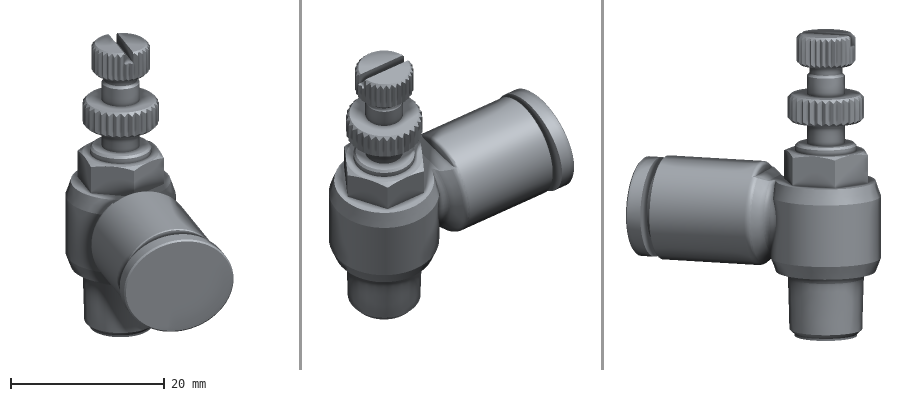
import cadquery as cq
import math


overall_length = 32.3

thread_tip_radius = 4.1
thread_end_radius = 4.75
thread_start_radius = 4.95
thread_relief_radius = 5.15
thread_tip_height = 0.3
thread_chamfer_top = 0.9
thread_top = 7.73
thread_relief_bottom = 8.37

body_radius = 7.2
body_end_radius = 6.53
body_bottom = 8.57
body_lower_shoulder = 10.37
body_upper_shoulder = 18.55
body_top = 20.55

hex_across_flats = 10.0
hex_top = 24.6
hex_chamfer_radius = hex_across_flats / 2
hex_chamfer_angle = 25
collar_radius = 4.0
collar_top = 25.55
collar_chamfer = 0.3

stem_radius = 2.5
stem_top = 34.85
stem_chamfer = 0.32
tooth_count = 30
tooth_chamfer = 0.5
nut_tip_radius = 5.0
nut_valley_radius = 4.6
nut_bottom = 28.5
nut_top = 32.1
knob_tip_radius = 3.85
knob_valley_radius = 3.5
knob_bottom = 36.0
knob_top = 40.05
slot_width = 1.2
slot_depth = 1.5

branch_height = 15.75
neck_radius = 5.0
cone_start = 6.53
cone_end = 8.45
cone_fillet = 1.0
barrel_radius = 6.8
barrel_start = 8.5
barrel_lip = 0.5
barrel_end = 22.1
barrel_end_chamfer = 0.12
facet_start = 7.05
facet_end_height = 21.23

ring_radius = 4.8
button_start = 23.03
button_end = overall_length - body_radius
button_half_width = 15.0 / 2
button_half_height = 6.5
button_chamfer = 0.2


def revolve_about_z(points):
    """Revolve a (radius, height) outline about the valve axis."""
    return cq.Workplane("XZ").polyline(points).close().revolve(360, (0, 0, 0), (0, 1, 0))


def branch_disc(radius, start, end):
    """Round bar along the branch axis from X = start to X = end."""
    return cq.Workplane("YZ", origin=(start, 0, branch_height)).circle(radius).extrude(end - start)


def body():
    return revolve_about_z([
        (0, 0),
        (thread_tip_radius, 0),
        (thread_tip_radius, thread_tip_height),
        (thread_end_radius, thread_chamfer_top),
        (thread_start_radius, thread_top),
        (thread_relief_radius, thread_relief_bottom),
        (thread_relief_radius, body_bottom),
        (body_end_radius, body_bottom),
        (body_radius, body_lower_shoulder),
        (body_radius, body_upper_shoulder),
        (body_end_radius, body_top),
        (0, body_top),
    ])


def hexagon():
    corner_radius = hex_across_flats / 2 / math.cos(math.pi / 6)
    prism = (
        cq.Workplane("XY", origin=(0, 0, body_top))
        .polygon(6, 2 * corner_radius)
        .extrude(hex_top - body_top)
    )
    corner_drop = (corner_radius - hex_chamfer_radius) * math.tan(math.radians(hex_chamfer_angle))
    envelope = revolve_about_z([
        (0, body_top),
        (corner_radius, body_top),
        (corner_radius, hex_top - corner_drop),
        (hex_chamfer_radius, hex_top),
        (0, hex_top),
    ])
    return prism.intersect(envelope)


def collar_and_stem():
    undercut_radius = stem_radius - stem_chamfer
    return revolve_about_z([
        (0, hex_top),
        (collar_radius, hex_top),
        (collar_radius, collar_top - collar_chamfer),
        (collar_radius - collar_chamfer, collar_top),
        (stem_radius, collar_top),
        (stem_radius, stem_top - stem_chamfer),
        (undercut_radius, stem_top),
        (undercut_radius, knob_bottom),
        (0, knob_bottom),
    ])


def knurled_disc(tip_radius, valley_radius, bottom, top, first_tip_angle):
    """Disc with sharp V teeth, chamfered at both ends."""
    half_pitch = 180 / tooth_count
    points = []
    for step in range(2 * tooth_count):
        radius = tip_radius if step % 2 == 0 else valley_radius
        angle = math.radians(first_tip_angle + step * half_pitch)
        points.append((radius * math.cos(angle), radius * math.sin(angle)))
    teeth = cq.Workplane("XY", origin=(0, 0, bottom)).polyline(points).close().extrude(top - bottom)
    envelope = revolve_about_z([
        (0, bottom),
        (tip_radius - tooth_chamfer, bottom),
        (tip_radius, bottom + tooth_chamfer),
        (tip_radius, top - tooth_chamfer),
        (tip_radius - tooth_chamfer, top),
        (0, top),
    ])
    return teeth.intersect(envelope)


def lock_nut():
    return knurled_disc(nut_tip_radius, nut_valley_radius, nut_bottom, nut_top, 0)


def slotted_knob():
    knob = knurled_disc(knob_tip_radius, knob_valley_radius, knob_bottom, knob_top, 90)
    slot = (
        cq.Workplane("XY", origin=(0, 0, knob_top - slot_depth))
        .rect(2 * knob_tip_radius, slot_width)
        .extrude(slot_depth)
    )
    return knob.cut(slot)


def branch_neck():
    """Neck and blended cone, cut flat at the body top and sloped up to the barrel."""
    blend_end = barrel_start + barrel_lip
    cone_angle = math.atan2(barrel_radius - neck_radius, cone_end - cone_start)
    tangent = cone_fillet * math.tan(cone_angle / 2)
    tangent_x = tangent * math.cos(cone_angle)
    tangent_r = tangent * math.sin(cone_angle)
    sagitta = cone_fillet * (1 - math.cos(cone_angle / 2))
    mid_x = cone_fillet * math.sin(cone_angle / 2)
    neck_tangent = cone_start - tangent
    barrel_tangent = cone_end + tangent
    neck = (
        cq.Workplane("XZ", origin=(0, 0, branch_height))
        .lineTo(0, neck_radius)
        .lineTo(neck_tangent, neck_radius)
        .threePointArc(
            (neck_tangent + mid_x, neck_radius + sagitta),
            (cone_start + tangent_x, neck_radius + tangent_r),
        )
        .lineTo(cone_end - tangent_x, barrel_radius - tangent_r)
        .threePointArc(
            (barrel_tangent - mid_x, barrel_radius - sagitta),
            (barrel_tangent, barrel_radius),
        )
        .lineTo(blend_end, barrel_radius)
        .lineTo(blend_end, 0)
        .close()
        .revolve(360, (0, 0, 0), (1, 0, 0))
    )
    clearance_top = branch_height + 2 * barrel_radius
    clearance = (
        cq.Workplane("XZ")
        .polyline([
            (-body_radius, body_top),
            (facet_start, body_top),
            (barrel_start, facet_end_height),
            (blend_end, facet_end_height),
            (blend_end, clearance_top),
            (-body_radius, clearance_top),
        ])
        .close()
        .extrude(barrel_radius, both=True)
    )
    return neck.cut(clearance)


def barrel():
    return (
        branch_disc(barrel_radius, barrel_start, barrel_end)
        .faces("<X").edges().fillet(barrel_lip)
        .faces(">X").edges().chamfer(barrel_end_chamfer)
    )


def release_button():
    ring = branch_disc(ring_radius, barrel_end, button_start)
    button = (
        cq.Workplane("YZ", origin=(button_start, 0, branch_height))
        .ellipse(button_half_width, button_half_height)
        .extrude(button_end - button_start)
        .faces(">X").edges().chamfer(button_chamfer)
    )
    return ring.union(button)


result = body()
for piece in (
    hexagon(),
    collar_and_stem(),
    lock_nut(),
    slotted_knob(),
    branch_neck(),
    barrel(),
    release_button(),
):
    result = result.union(piece)